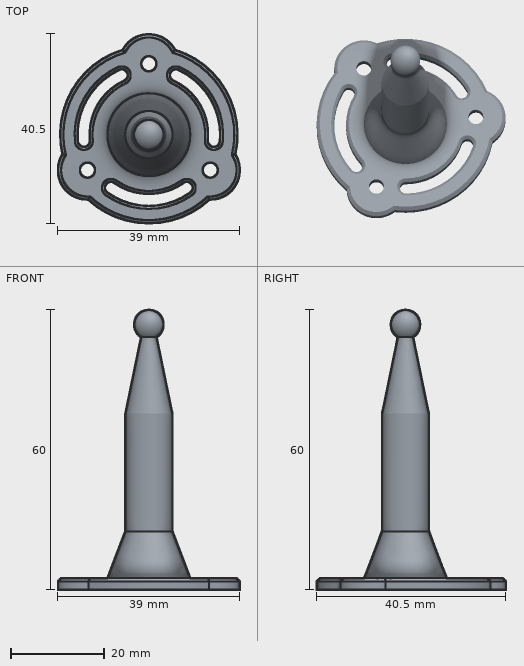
import cadquery as cq
import math

disc_radius = 19.0
lobe_radius = 6.35
hole_circle_radius = 15.2
hole_diameter = 3.2
plate_thickness = 2.5
edge_chamfer = 0.7
lobe_angles = [90, 210, 330]

slot_radius = 14.0
slot_width = 2.5
slot_half_angle = 35.5
slot_chamfer = 0.65
slot_angles = [angle + 60 for angle in lobe_angles]

total_height = 60
foot_radius = 8.9
foot_top = 12.55
shaft_diameter = 10.15
shaft_radius = shaft_diameter / 2
shaft_top = 37.7
ball_radius = 3.2
neck_radius = 1.7
ball_center = total_height - ball_radius
neck_top = ball_center - math.sqrt(ball_radius**2 - neck_radius**2)


def polar(radius, angle):
    """Point at a radius and an angle in degrees about the post axis."""
    turn = math.radians(angle)
    return (radius * math.cos(turn), radius * math.sin(turn))


lobe_centers = [polar(hole_circle_radius, angle) for angle in lobe_angles]


def chamfered_disc(center, radius):
    """Disc of the plate thickness with a chamfered top edge."""
    disc = cq.Workplane("XY").center(*center).circle(radius).extrude(plate_thickness)
    return disc.faces(">Z").edges().chamfer(edge_chamfer)


def make_plate():
    plate = chamfered_disc((0, 0), disc_radius)
    for center in lobe_centers:
        plate = plate.union(chamfered_disc(center, lobe_radius))
    return plate.clean()


def drill_holes(plate):
    holes = cq.Workplane("XY").pushPoints(lobe_centers).circle(hole_diameter / 2).extrude(plate_thickness)
    return plate.cut(holes)


def make_slot(middle_angle):
    """Curved slot with round ends through the plate."""
    outer = slot_radius + slot_width / 2
    inner = slot_radius - slot_width / 2
    start = middle_angle - slot_half_angle
    end = middle_angle + slot_half_angle
    start_x, start_y = polar(slot_radius, start)
    end_x, end_y = polar(slot_radius, end)
    start_dx, start_dy = polar(slot_width / 2, start - 90)
    end_dx, end_dy = polar(slot_width / 2, end + 90)
    return (
        cq.Workplane("XY")
        .moveTo(*polar(outer, start))
        .threePointArc(polar(outer, middle_angle), polar(outer, end))
        .threePointArc((end_x + end_dx, end_y + end_dy), polar(inner, end))
        .threePointArc(polar(inner, middle_angle), polar(inner, start))
        .threePointArc((start_x + start_dx, start_y + start_dy), polar(outer, start))
        .close()
        .extrude(plate_thickness)
    )


def cut_slots(plate):
    for angle in slot_angles:
        plate = plate.cut(make_slot(angle))
    rims = [edge for wire in plate.faces(">Z").val().innerWires() for edge in wire.Edges()]
    return plate.newObject(rims).chamfer(slot_chamfer)


def make_post():
    profile = (
        cq.Workplane("XZ")
        .moveTo(0, 0)
        .lineTo(foot_radius, 0)
        .lineTo(foot_radius, plate_thickness)
        .lineTo(shaft_radius, foot_top)
        .lineTo(shaft_radius, shaft_top)
        .lineTo(neck_radius, neck_top)
        .threePointArc((ball_radius, ball_center), (0, total_height))
        .close()
    )
    return profile.revolve(360, (0, 0, 0), (0, 1, 0))


result = drill_holes(cut_slots(make_plate())).union(make_post())